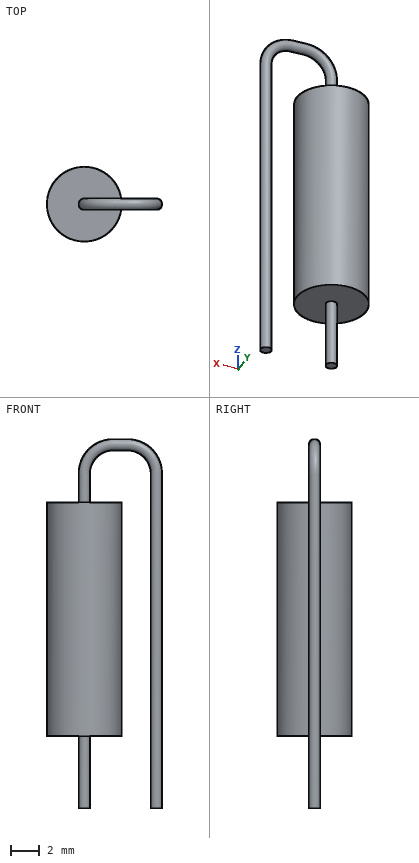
import cadquery as cq

body_diameter = 5.2
body_height = 16.2

lead_diameter = 0.8
lead_pitch = 5.0
lead_tip_z = -5.0
top_straight_length = 2.0
bend_radius = 2.0

bend_start_z = body_height + top_straight_length
crest_z = bend_start_z + bend_radius


def make_body():
    return cq.Workplane("XY").circle(body_diameter / 2).extrude(body_height)


def make_lead():
    """Round wire swept along its centreline in the XZ plane."""
    centreline = (
        cq.Workplane("XZ")
        .moveTo(0, lead_tip_z)
        .lineTo(0, bend_start_z)
        .radiusArc((bend_radius, crest_z), bend_radius)
        .lineTo(lead_pitch - bend_radius, crest_z)
        .radiusArc((lead_pitch, bend_start_z), bend_radius)
        .lineTo(lead_pitch, lead_tip_z)
    )
    profile = cq.Workplane("XY", origin=(0, 0, lead_tip_z)).circle(lead_diameter / 2)
    return profile.sweep(centreline)


result = make_body().union(make_lead())